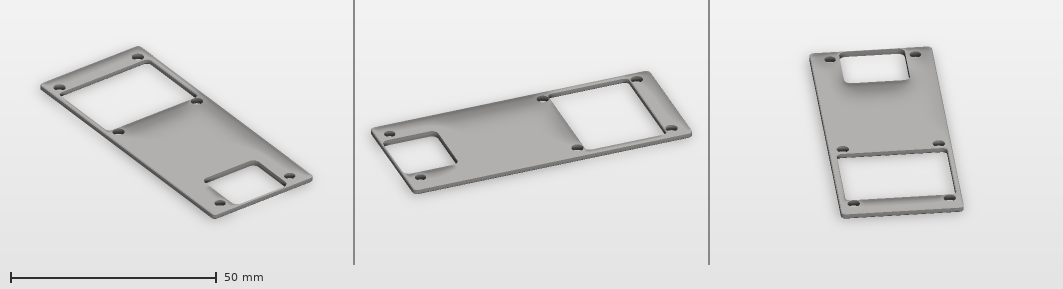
import cadquery as cq

length = 72.6
width = 30.0
thickness = 1.5
corner_radius = 1.0
edge_chamfer = 0.2

pattern_y = -0.2

large_window_center_x = 16.55
large_window_length = 21.0
large_window_width = 26.9
large_window_radius = 1.2
window_chamfer = 0.2

small_window_center_x = 65.1
small_window_length = 14.2
small_window_width = 16.05
small_window_radius = 1.7

large_hole_diameter = 3.0
large_hole_spacing_x = 24.45
large_hole_spacing_y = 23.45
small_hole_diameter = 2.75
small_hole_x = 69.1
small_hole_spacing_y = 20.8


def rounded_block(center_x, center_y, size_x, size_y, radius):
    """Block through the plate thickness with rounded vertical edges."""
    return (
        cq.Workplane("XY")
        .center(center_x, center_y)
        .rect(size_x, size_y)
        .extrude(thickness)
        .edges("|Z")
        .fillet(radius)
    )


def hole_cutter(points, diameter):
    """Cylinders through the plate thickness at the given centres."""
    return cq.Workplane("XY").pushPoints(points).circle(diameter / 2).extrude(thickness)


plate = rounded_block(length / 2, 0, length, width, corner_radius)
plate = plate.faces("<Z or >Z").edges().chamfer(edge_chamfer)

plate = plate.cut(
    rounded_block(
        large_window_center_x, pattern_y, large_window_length, large_window_width, large_window_radius
    )
)
window_reach_x = large_window_length / 2 + window_chamfer
window_reach_y = large_window_width / 2 + window_chamfer
window_region = cq.selectors.BoxSelector(
    (large_window_center_x - window_reach_x, pattern_y - window_reach_y, -thickness),
    (large_window_center_x + window_reach_x, pattern_y + window_reach_y, 2 * thickness),
    boundingbox=True,
)
plate = plate.edges(window_region).edges("<Z or >Z").chamfer(window_chamfer)

plate = plate.cut(
    rounded_block(
        small_window_center_x, pattern_y, small_window_length, small_window_width, small_window_radius
    )
)

large_hole_points = [
    (large_window_center_x + side_x * large_hole_spacing_x / 2, pattern_y + side_y * large_hole_spacing_y / 2)
    for side_x in (-1, 1)
    for side_y in (-1, 1)
]
small_hole_points = [(small_hole_x, pattern_y + side * small_hole_spacing_y / 2) for side in (-1, 1)]
plate = plate.cut(hole_cutter(large_hole_points, large_hole_diameter))
plate = plate.cut(hole_cutter(small_hole_points, small_hole_diameter))

result = plate